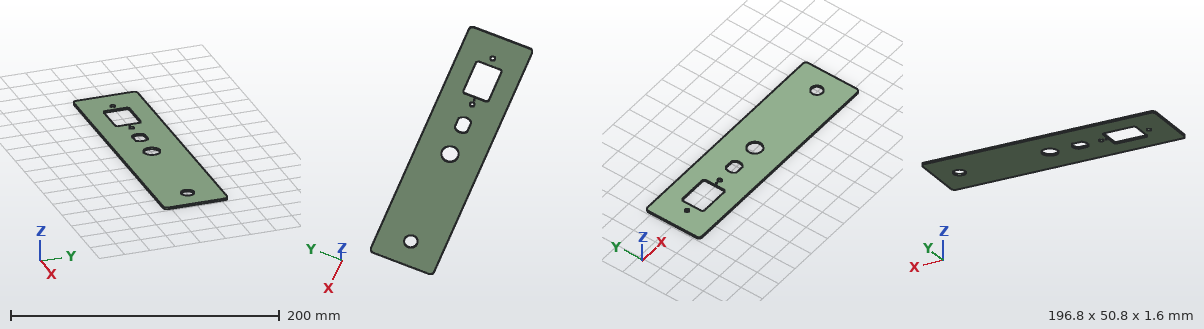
import cadquery as cq

panel_length = 196.8
panel_width = 50.8
panel_thickness = 1.6
panel_corner_radius = 3.0

window_center_x = -60.5
window_length = 28.0
window_width = 20.5
window_corner_radius = 2.0
fixing_hole_spacing = 40.2
fixing_hole_diameter = 3.5

pin_hole_x = -44.5
pin_hole_diameter = 1.0

flatted_hole_x = -22.5
flatted_hole_diameter = 12.8
flatted_hole_width = 10.0

large_hole_x = 3.0
large_hole_diameter = 12.8
end_hole_x = 79.3
end_hole_diameter = 10.0


def rounded_plate(length, width, corner_radius):
    """Plate of panel thickness with rounded vertical edges."""
    return cq.Workplane("XY").box(length, width, panel_thickness).edges("|Z").fillet(corner_radius)


def round_cutter(center_x, diameter):
    """Cylinder through the panel on its long centre line."""
    return (
        cq.Workplane("XY")
        .center(center_x, 0)
        .circle(diameter / 2)
        .extrude(panel_thickness / 2, both=True)
    )


def flatted_cutter():
    """Cylinder trimmed by two flats parallel to X."""
    trim = cq.Workplane("XY").box(flatted_hole_diameter, flatted_hole_width, panel_thickness)
    return round_cutter(flatted_hole_x, flatted_hole_diameter).intersect(trim.translate((flatted_hole_x, 0, 0)))


round_holes = [
    (window_center_x - fixing_hole_spacing / 2, fixing_hole_diameter),
    (window_center_x + fixing_hole_spacing / 2, fixing_hole_diameter),
    (pin_hole_x, pin_hole_diameter),
    (large_hole_x, large_hole_diameter),
    (end_hole_x, end_hole_diameter),
]

window = rounded_plate(window_length, window_width, window_corner_radius)

result = rounded_plate(panel_length, panel_width, panel_corner_radius)
result = result.cut(window.translate((window_center_x, 0, 0)))
result = result.cut(flatted_cutter())
for hole_x, hole_diameter in round_holes:
    result = result.cut(round_cutter(hole_x, hole_diameter))